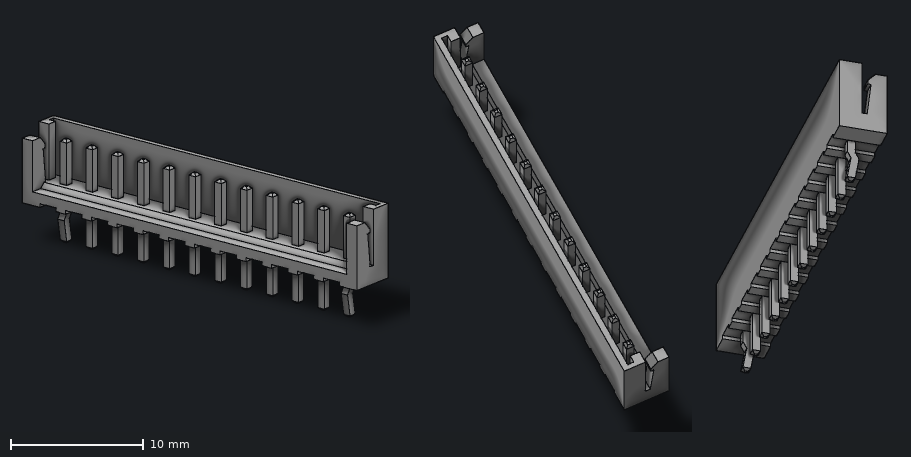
import cadquery as cq

PIN_COUNT = 12
PITCH = 2.5
PIN_SIZE = 0.64
PIN_TOP = 5.1
PIN_BOTTOM = -3.2
PIN_TAPER = 0.2

END_MARGIN = 2.5
BACK_Y = 1.6
FRONT_Y = -2.2
BACK_HEIGHT = 6.0
LATCH_HEIGHT = 5.2

END_WALL = 1.0
BACK_WALL = 0.5
FLOOR_Z = 1.5
LEDGE_Z = 1.1
LEDGE_DEPTH = 1.0
RAMP_DEPTH = 0.4
POCKET_DEPTH = 0.6
POCKET_WIDTH = 0.5

POST_DEPTH = 1.8
SLOT_BACK_Y = BACK_Y - POST_DEPTH
SLOT_BOTTOM_WIDTH = 0.4
SLOT_NECK_WIDTH = 0.7
HOOK_GAP = 0.45
NECK_Z = 4.17
HOOK_BOTTOM_Z = 4.24
HOOK_TOP_Z = 4.55
LEAD_IN_DEPTH = 0.6

NOTCH_WIDTH = 1.55
NOTCH_DEPTH = 0.3

KINK_START_Z = -0.7
KINK_PEAK_Z = -1.25
KINK_OFFSET = 0.3

ROW_LENGTH = (PIN_COUNT - 1) * PITCH
LENGTH = ROW_LENGTH + 2 * END_MARGIN
CAVITY_LENGTH = LENGTH - 2 * END_WALL
PIN_POSITIONS = [i * PITCH - ROW_LENGTH / 2 for i in range(PIN_COUNT)]


def box_between(x_span, y_span, z_span):
    """Axis-aligned box from three (low, high) pairs."""
    spans = (x_span, y_span, z_span)
    size = [high - low for low, high in spans]
    corner = tuple(low for low, high in spans)
    return cq.Workplane("XY").box(*size, centered=False).translate(corner)


def extrude_profile(points, length):
    """Extrude a closed (y, z) outline along X, centred on x = 0."""
    return cq.Workplane("YZ").polyline(points).close().extrude(length / 2, both=True)


def make_cavity():
    """Space between the end walls, open to the top and to the front above the ledge."""
    ramp_front_y = FRONT_Y + LEDGE_DEPTH
    inner_back_y = BACK_Y - BACK_WALL
    cavity = extrude_profile(
        [
            (inner_back_y, BACK_HEIGHT),
            (inner_back_y, FLOOR_Z),
            (ramp_front_y + RAMP_DEPTH, FLOOR_Z),
            (ramp_front_y, LEDGE_Z),
            (FRONT_Y, LEDGE_Z),
            (FRONT_Y, BACK_HEIGHT),
        ],
        CAVITY_LENGTH,
    )
    half_pocket = CAVITY_LENGTH / 2 + POCKET_DEPTH
    pockets = box_between(
        (-half_pocket, half_pocket),
        (inner_back_y - POCKET_WIDTH, inner_back_y),
        (FLOOR_Z, BACK_HEIGHT),
    )
    return cavity.union(pockets)


def make_latch_slot():
    """Slot through both end walls that leaves a hooked latch at the front."""
    hook_y = SLOT_BACK_Y - HOOK_GAP
    latch_top_y = hook_y - LEAD_IN_DEPTH
    return extrude_profile(
        [
            (SLOT_BACK_Y, BACK_HEIGHT),
            (SLOT_BACK_Y, FLOOR_Z),
            (SLOT_BACK_Y - SLOT_BOTTOM_WIDTH, FLOOR_Z),
            (SLOT_BACK_Y - SLOT_NECK_WIDTH, NECK_Z),
            (hook_y, HOOK_BOTTOM_Z),
            (hook_y, HOOK_TOP_Z),
            (latch_top_y, LATCH_HEIGHT),
            (FRONT_Y, LATCH_HEIGHT),
            (FRONT_Y, BACK_HEIGHT),
        ],
        LENGTH,
    )


def make_housing():
    """Shroud with cavity, latch slots and one underside notch per pin."""
    half_length = LENGTH / 2
    housing = box_between((-half_length, half_length), (FRONT_Y, BACK_Y), (0, BACK_HEIGHT))
    housing = housing.cut(make_cavity()).cut(make_latch_slot())
    for x in PIN_POSITIONS:
        notch = box_between(
            (x - NOTCH_WIDTH / 2, x + NOTCH_WIDTH / 2), (FRONT_Y, BACK_Y), (0, NOTCH_DEPTH)
        )
        housing = housing.cut(notch)
    return housing


def make_pin(kinked):
    """Square pin with four-sided tapered ends; a kinked tail bulges towards -Y."""
    half = PIN_SIZE / 2
    tail_z = PIN_BOTTOM + PIN_TAPER
    bulge = KINK_OFFSET if kinked else 0
    pin = extrude_profile(
        [
            (half, PIN_TOP - PIN_TAPER),
            (half, KINK_START_Z),
            (half - bulge, KINK_PEAK_Z),
            (half, tail_z),
            (-half, tail_z),
            (-half - bulge, KINK_PEAK_Z),
            (-half, KINK_START_Z),
            (-half, PIN_TOP - PIN_TAPER),
        ],
        PIN_SIZE,
    )
    tip_size = PIN_SIZE - 2 * PIN_TAPER
    for shoulder_z, tip_z in ((PIN_TOP - PIN_TAPER, PIN_TOP), (tail_z, PIN_BOTTOM)):
        tip = (
            cq.Workplane("XY", origin=(0, 0, shoulder_z))
            .rect(PIN_SIZE, PIN_SIZE)
            .workplane(offset=tip_z - shoulder_z)
            .rect(tip_size, tip_size)
            .loft(ruled=True)
        )
        pin = pin.union(tip)
    return pin.clean()


result = make_housing()
for x in PIN_POSITIONS:
    is_end_pin = x in (PIN_POSITIONS[0], PIN_POSITIONS[-1])
    result = result.union(make_pin(is_end_pin).translate((x, 0, 0)))